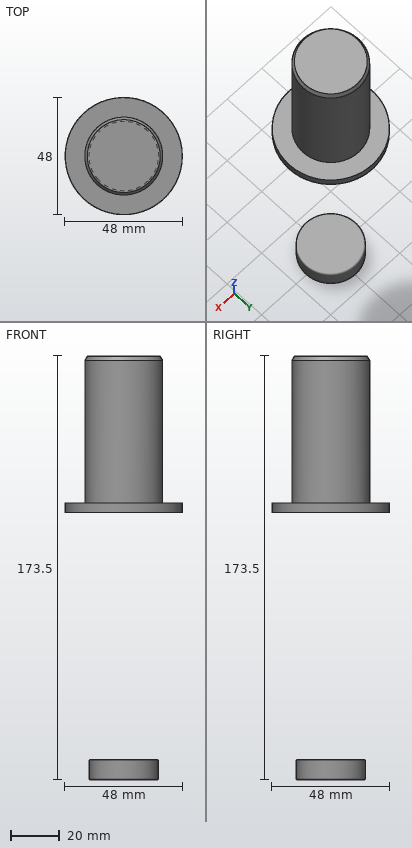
import cadquery as cq

total_height = 173.5

flange_diameter = 48.0
flange_thickness = 4.0
shank_diameter = 32.0
pin_length = 64.0
shank_chamfer = 1.0
shank_chamfer_height = 1.7

disc_diameter = 28.5
disc_thickness = 8.3
disc_rim_radius = 0.7


def make_pin():
    """Round shank with a flange at its foot and a tapered edge at its top."""
    flange_radius = flange_diameter / 2
    shank_radius = shank_diameter / 2
    foot = total_height - pin_length
    profile = (
        cq.Workplane("XZ")
        .moveTo(0, foot)
        .lineTo(flange_radius, foot)
        .lineTo(flange_radius, foot + flange_thickness)
        .lineTo(shank_radius, foot + flange_thickness)
        .lineTo(shank_radius, total_height - shank_chamfer_height)
        .lineTo(shank_radius - shank_chamfer, total_height)
        .lineTo(0, total_height)
        .close()
    )
    return profile.revolve(360, (0, 0, 0), (0, 1, 0))


def make_disc():
    """Plain disc with both rims rounded."""
    disc = cq.Workplane("XY").circle(disc_diameter / 2).extrude(disc_thickness)
    return disc.faces("|Z").edges().fillet(disc_rim_radius)


pin = make_pin()
disc = make_disc()

result = cq.Compound.makeCompound([pin.val(), disc.val()])